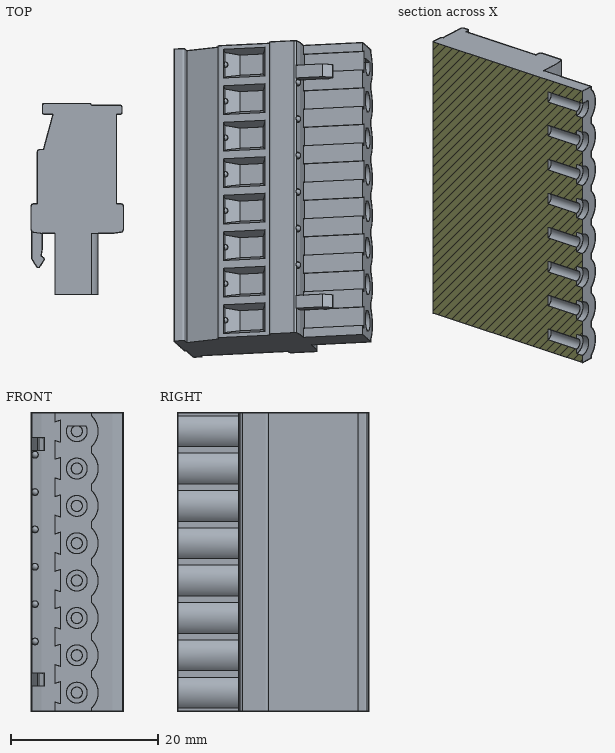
import cadquery as cq
import math


POLES = 8
PITCH = 5.08
LENGTH = POLES * PITCH
TOP = LENGTH / 2
POLE_CENTRES = [(i - (POLES - 1) / 2) * PITCH for i in range(POLES)]
POLE_JOINTS = [z + PITCH / 2 for z in POLE_CENTRES[:-1]]

WIDTH = 12.6
DEPTH = 26.0
COLLAR_FRONT = 8.3
COLLAR_BACK = 12.35
BODY_LEFT = 0.85
BODY_RIGHT = 11.65
SHOULDER_Y = 19.75
SHOULDER_X = 1.7
SLOPE_END_X = 2.98
HEAD_Y = 24.5
HEAD_LEFT = 1.55
HEAD_RIGHT = 12.4
HEAD_STEP = 0.25
HEAD_STEP_START = 8.05
HEAD_STEP_END = 8.3
LIP_WIDTH = 1.5
LIP_RISE = 0.2
LIP_EDGE = 0.16
LIP_BACK = 8.83
COLLAR_ROUND = 0.4
HEAD_ROUND = 0.28

NOSE_LEFT = 3.27
NOSE_RIGHT = 8.25
SOCKET_X = 6.24
LOBE_RADIUS = 2.9
SOCKET_RADIUS = 1.42
SOCKET_DEPTH = 1.0
PIN_RADIUS = 0.76
PIN_DEPTH = 6.0
SOCKET_CEILING = 0.68
KEY_DEPTH = 0.73
KEY_MOUTH = 2.54
KEY_FLOOR = 3.0

FUNNEL_FRONT = 13.05
FUNNEL_BACK = 18.85
FUNNEL_DEPTH = 1.47
FUNNEL_HALF_MOUTH = 2.0
FUNNEL_HALF_FLOOR = 1.4
FUNNEL_TAPER = 0.63
RAMP_START_DEPTH = 0.73
RAMP_LENGTH = 1.95
FUNNEL_BEAD_RADIUS = 0.4

LATCH_HEIGHT = 1.77
LATCH_CENTRE = TOP - 4.3
LATCH_ROOT = 8.6
LATCH_LEFT = 0.1
LATCH_RIGHT = 1.55
LATCH_TIP_Y = 3.65
LATCH_TIP_LEFT = 0.87
LATCH_TIP_RIGHT = 1.12
LATCH_BEVEL_X = 0.45
LATCH_BEVEL_Y = 4.27
LATCH_BEVEL_BACK = 4.88
HOOK_X = 1.84
HOOK_Y = 4.75
HOOK_BACK_X = 1.8
HOOK_BACK_Y = 4.95
NECK_X = 1.4
NECK_FRONT = 5.25
NECK_BACK = 6.15
BEAD_RADIUS = 0.46
BEAD_X = 0.56
BEAD_Y = 8.5
BEAD_DROP = 0.66


def prism(points):
    """Extrude an XY outline over the full length of the housing."""
    return cq.Workplane("XY").polyline(points).close().extrude(TOP, both=True)


def round_corners(solid, corners, radius):
    """Fillet the long edges that pass through the given XY corners."""
    for x, y in corners:
        solid = solid.edges("|Z").edges(cq.NearestToPointSelector((x, y, 0))).fillet(radius)
    return solid


def make_housing():
    collar_left = (0, COLLAR_BACK)
    collar_right = (WIDTH, COLLAR_BACK)
    shoulder = (BODY_LEFT, SHOULDER_Y)
    head_front_left = (HEAD_LEFT, HEAD_Y)
    head_back_left = (HEAD_LEFT, DEPTH)
    head_back_right = (HEAD_RIGHT, DEPTH - HEAD_STEP)
    head_front_right = (HEAD_RIGHT, HEAD_Y)
    housing = prism([
        (LIP_WIDTH, COLLAR_FRONT),
        (LIP_EDGE, COLLAR_FRONT + LIP_RISE),
        (0, LIP_BACK),
        collar_left,
        (BODY_LEFT, COLLAR_BACK),
        shoulder,
        (SHOULDER_X, SHOULDER_Y),
        (SLOPE_END_X, HEAD_Y),
        head_front_left,
        head_back_left,
        (HEAD_STEP_START, DEPTH),
        (HEAD_STEP_END, DEPTH - HEAD_STEP),
        head_back_right,
        head_front_right,
        (BODY_RIGHT, HEAD_Y),
        (BODY_RIGHT, COLLAR_BACK),
        collar_right,
        (WIDTH, LIP_BACK),
        (WIDTH - LIP_EDGE, COLLAR_FRONT + LIP_RISE),
        (WIDTH - LIP_WIDTH, COLLAR_FRONT),
    ])
    housing = round_corners(housing, [collar_left, collar_right, shoulder], COLLAR_ROUND)
    head_corners = [head_front_left, head_back_left, head_back_right, head_front_right]
    return round_corners(housing, head_corners, HEAD_ROUND)


def make_nose():
    """Plug nose whose right side bulges into one lobe per pole."""
    half_lobe = math.sqrt(LOBE_RADIUS**2 - (NOSE_RIGHT - SOCKET_X) ** 2)
    outline = cq.Workplane("XZ").moveTo(NOSE_LEFT, -TOP).lineTo(NOSE_RIGHT, -TOP)
    for z in POLE_CENTRES:
        outline = outline.lineTo(NOSE_RIGHT, z - half_lobe)
        outline = outline.threePointArc((SOCKET_X + LOBE_RADIUS, z), (NOSE_RIGHT, z + half_lobe))
    outline = outline.lineTo(NOSE_RIGHT, TOP).lineTo(NOSE_LEFT, TOP).close()
    return outline.extrude(-COLLAR_FRONT)


def make_key_slot(z):
    """Dovetail slot along the left side of the nose."""
    floor_x = NOSE_LEFT + KEY_DEPTH
    outline = cq.Workplane("XZ").polyline([
        (NOSE_LEFT, z - KEY_MOUTH / 2),
        (floor_x, z - KEY_FLOOR / 2),
        (floor_x, z + KEY_FLOOR / 2),
        (NOSE_LEFT, z + KEY_MOUTH / 2),
    ])
    return outline.close().extrude(-COLLAR_FRONT)


def make_socket(z):
    """Wide contact recess with a narrower pin hole behind it."""
    face = cq.Workplane("XZ").center(SOCKET_X, z)
    recess = face.circle(SOCKET_RADIUS).extrude(-SOCKET_DEPTH)
    pin_hole = face.circle(PIN_RADIUS).extrude(-PIN_DEPTH)
    socket = recess.union(pin_hole)
    if z == POLE_CENTRES[-1]:
        roof = cq.Workplane("XY").box(WIDTH, 2 * DEPTH, PITCH, centered=(True, True, False))
        socket = socket.cut(roof.translate((SOCKET_X, 0, z + SOCKET_CEILING)))
    return socket


def make_funnel(z):
    """Tapered wire entry with a ramp at the back and a bead at the top of the ramp."""
    mouth_length = FUNNEL_BACK - FUNNEL_FRONT
    floor_front = FUNNEL_FRONT + FUNNEL_TAPER
    floor_length = FUNNEL_BACK - floor_front
    funnel = (
        cq.Workplane("YZ", origin=(BODY_LEFT, 0, z))
        .center((FUNNEL_FRONT + FUNNEL_BACK) / 2, 0)
        .rect(mouth_length, 2 * FUNNEL_HALF_MOUTH)
        .workplane(offset=FUNNEL_DEPTH)
        .center((floor_front - FUNNEL_FRONT) / 2, 0)
        .rect(floor_length, 2 * FUNNEL_HALF_FLOOR)
        .loft(ruled=True)
    )
    floor_x = BODY_LEFT + FUNNEL_DEPTH
    ramp_top = (BODY_LEFT + RAMP_START_DEPTH, FUNNEL_BACK)
    ramp = prism([ramp_top, (floor_x, FUNNEL_BACK), (floor_x, FUNNEL_BACK - RAMP_LENGTH)])
    bead = cq.Workplane("XY").sphere(FUNNEL_BEAD_RADIUS).rotate((0, 0, 0), (-1, 1, 0), 90)
    return funnel.cut(ramp).cut(bead.translate((*ramp_top, z)))


def make_latch(z):
    """Hooked latch arm reaching forward from the collar."""
    outline = cq.Workplane("XY").polyline([
        (LATCH_LEFT, LATCH_ROOT),
        (LATCH_LEFT, LATCH_BEVEL_BACK),
        (LATCH_BEVEL_X, LATCH_BEVEL_Y),
        (LATCH_TIP_LEFT, LATCH_TIP_Y),
        (LATCH_TIP_RIGHT, LATCH_TIP_Y),
        (HOOK_X, HOOK_Y),
        (HOOK_BACK_X, HOOK_BACK_Y),
        (NECK_X, NECK_FRONT),
        (LATCH_RIGHT, NECK_BACK),
        (LATCH_RIGHT, LATCH_ROOT),
    ])
    arm = outline.close().extrude(LATCH_HEIGHT / 2, both=True)
    return arm.translate((0, 0, z))


def make_bead(z):
    return cq.Workplane("XY").sphere(BEAD_RADIUS).translate((BEAD_X, BEAD_Y, z))


result = make_housing().union(make_nose())
for pole_z in POLE_CENTRES:
    result = result.cut(make_key_slot(pole_z))
    result = result.cut(make_socket(pole_z))
    result = result.cut(make_funnel(pole_z))
for joint_z in POLE_JOINTS:
    result = result.union(make_bead(joint_z - BEAD_DROP))
for latch_z in (-LATCH_CENTRE, LATCH_CENTRE):
    result = result.union(make_latch(latch_z))